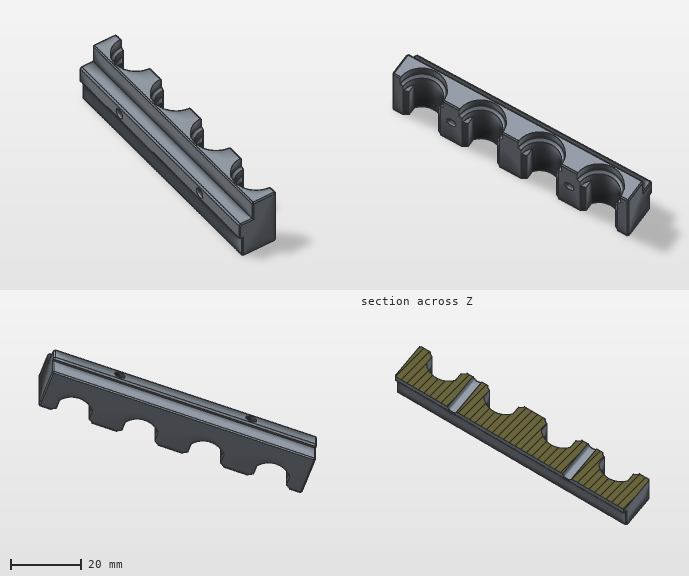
import cadquery as cq
import math

LENGTH = 80.0
HEIGHT = 19.0
UPPER_DEPTH = 8.15
LOWER_DEPTH = 11.7
RAIL_PROJECTION = 1.0
RAIL_HEIGHT = 5.8
RAIL_CENTER_Z = 10.0
EDGE_CHAMFER = 0.4
RAIL_CHAMFER = 0.55

SEAT_COUNT = 4
SEAT_RADIUS = 6.3
SEAT_MOUTH_RADIUS = 7.3
MOUTH_DEPTH = 3.2
SEAT_STRAIGHT = 2.4
LIP_GAP = 10.0
LIP_SETBACK = 0.35
LEDGE_ANGLE = 30.0

SCREW_DIAMETER = 3.2

rail_depth = LOWER_DEPTH + RAIL_PROJECTION
rail_bottom = RAIL_CENTER_Z - RAIL_HEIGHT / 2
rail_top = RAIL_CENTER_Z + RAIL_HEIGHT / 2
seat_pitch = LENGTH / SEAT_COUNT
ledge_slope = math.tan(math.radians(LEDGE_ANGLE))
mouth_bottom = HEIGHT - MOUTH_DEPTH
cone_bottom = mouth_bottom - (SEAT_MOUTH_RADIUS - SEAT_RADIUS) * ledge_slope
lip_top = cone_bottom - SEAT_STRAIGHT
lip_inner_x = LIP_GAP / 2
lip_rise = (SEAT_RADIUS - lip_inner_x) * ledge_slope
screw_positions = [seat_pitch, LENGTH - seat_pitch]


def chamfer_long_edges(bar, corners, size):
    """Chamfer the edges along X that pass through the given (y, z) corners."""

    def at_corner(edge):
        center = edge.Center()
        return any(math.dist((center.y, center.z), corner) < EDGE_CHAMFER / 2 for corner in corners)

    return bar.edges("|X").filter(at_corner).chamfer(size)


def make_body():
    """Stepped bar along X with its outside edges chamfered."""
    wall_corners = [(0, HEIGHT), (0, 0), (-LOWER_DEPTH, 0), (-UPPER_DEPTH, HEIGHT)]
    rail_corners = [(-rail_depth, rail_bottom), (-rail_depth, rail_top)]
    back_top, back_bottom, front_bottom, front_top = wall_corners
    outline = [
        back_top,
        back_bottom,
        front_bottom,
        (-LOWER_DEPTH, rail_bottom),
        *rail_corners,
        (-UPPER_DEPTH, rail_top),
        front_top,
    ]
    bar = cq.Workplane("YZ").polyline(outline).close().extrude(LENGTH)
    bar = chamfer_long_edges(bar, wall_corners, EDGE_CHAMFER)
    bar = chamfer_long_edges(bar, rail_corners, RAIL_CHAMFER)
    return bar.faces("<X or >X").edges().chamfer(EDGE_CHAMFER)


def make_lip():
    """Lip on the +X side that narrows the lower seat, sloped on top and at the back."""
    lip_profile = [
        (lip_inner_x, 0),
        (SEAT_MOUTH_RADIUS, 0),
        (SEAT_MOUTH_RADIUS, lip_top),
        (SEAT_RADIUS, lip_top),
        (lip_inner_x, lip_top - lip_rise),
    ]
    lip = cq.Workplane("XZ").polyline(lip_profile).close().extrude(SEAT_MOUTH_RADIUS)
    lead_in_profile = [
        (lip_inner_x, 0),
        (SEAT_RADIUS, 0),
        (SEAT_RADIUS, -LIP_SETBACK),
        (lip_inner_x, -LIP_SETBACK - lip_rise),
    ]
    lead_in = cq.Workplane("XY").polyline(lead_in_profile).close().extrude(lip_top)
    return lip.cut(lead_in)


def make_seat():
    """Solid removed for one seat, with its axis on x = y = 0."""
    bore_profile = [
        (0, 0),
        (SEAT_RADIUS, 0),
        (SEAT_RADIUS, cone_bottom),
        (SEAT_MOUTH_RADIUS, mouth_bottom),
        (SEAT_MOUTH_RADIUS, HEIGHT),
        (0, HEIGHT),
    ]
    bore = cq.Workplane("XZ").polyline(bore_profile).close().revolve(360, (0, 0), (0, 1))
    lip = make_lip()
    return bore.cut(lip).cut(lip.mirror("YZ"))


def make_screw_holes():
    """Plain holes running straight through along Y."""
    return (
        cq.Workplane("XZ")
        .pushPoints([(x, RAIL_CENTER_Z) for x in screw_positions])
        .circle(SCREW_DIAMETER / 2)
        .extrude(rail_depth)
    )


result = make_body()
seat = make_seat()
for index in range(SEAT_COUNT):
    seat_x = (index + 0.5) * seat_pitch
    result = result.cut(seat.translate((seat_x, 0, 0)))
result = result.cut(make_screw_holes())